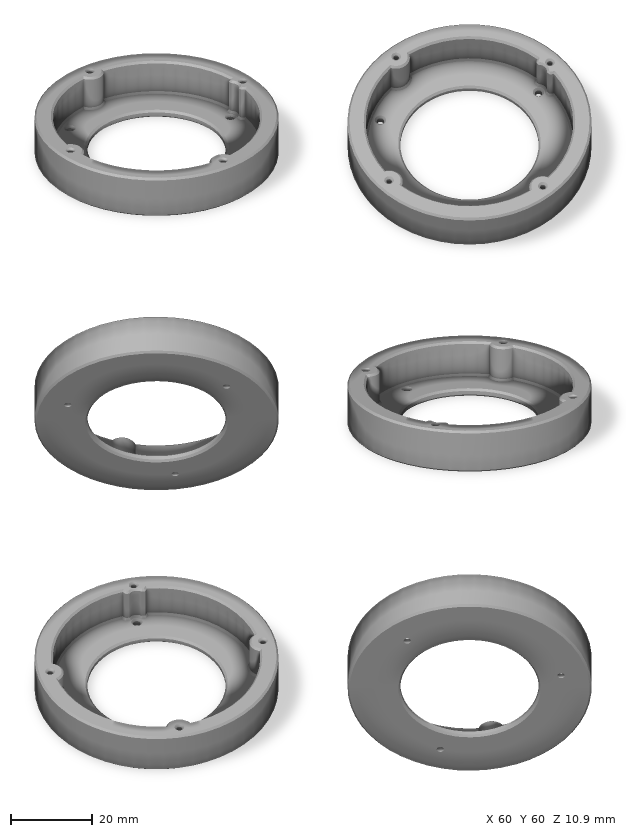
import cadquery as cq
import math

outer_diameter = 60.0
height = 10.9
edge_chamfer = 0.5
outer_radius = outer_diameter / 2

floor_thickness = 2.0
cavity_radius = 25.5
bore_radius = 34.0 / 2

boss_radius = 3.35
boss_circle_radius = 26.75
boss_hole_radius = 1.4 / 2
boss_hole_depth = 6.0
boss_angles = (0, 90, 180, 270)

floor_hole_radius = 1.8 / 2
floor_hole_circle_radius = 23.0
floor_hole_angles = (90, 210, 330)

tip_flat_y = 24.4
relief_radius = 2.1
shared_angle = 90


def polar(radius, angle):
    """Point on a circle about the part axis."""
    return (radius * math.cos(math.radians(angle)), radius * math.sin(math.radians(angle)))


def revolved(profile, center):
    """Turn a (radius, height) profile about a vertical line through the center."""
    turned = cq.Workplane("XZ").polyline(profile).close().revolve(360, (0, 0, 0), (0, 1, 0))
    return turned.translate((*center, 0))


def countersunk_hole(center, radius, bottom, top):
    """Hole cutter with a 45 degree countersink at its upper end."""
    profile = [
        (0, bottom),
        (radius, bottom),
        (radius, top - edge_chamfer),
        (radius + edge_chamfer, top),
        (0, top),
    ]
    return revolved(profile, center)


def wall_profile(distance, chamfer):
    """Cavity wall section, stepping by the chamfer at floor and rim, closed along distance zero."""
    return [
        (0, floor_thickness),
        (distance - chamfer, floor_thickness),
        (distance, floor_thickness + edge_chamfer),
        (distance, height - edge_chamfer),
        (distance + chamfer, height),
        (0, height),
    ]


def boss(angle):
    """Screw boss, wider at the floor and narrower at the rim."""
    return revolved(wall_profile(boss_radius, -edge_chamfer), polar(boss_circle_radius, angle))


def tip_trim():
    """Space on the axis side of the flat across the shared boss, with chamfered edges."""
    section = cq.Workplane("YZ").polyline(wall_profile(tip_flat_y, edge_chamfer)).close()
    return section.extrude(outer_radius, both=True)


def cavity():
    """Round pocket with the bosses left standing and the shared boss trimmed and relieved."""
    pocket = revolved(wall_profile(cavity_radius, edge_chamfer), (0, 0))
    for angle in boss_angles:
        lobe = boss(angle)
        if angle == shared_angle:
            relief_center = polar(floor_hole_circle_radius, angle)
            relief = revolved(wall_profile(relief_radius, edge_chamfer), relief_center)
            lobe = lobe.cut(tip_trim()).cut(relief)
        pocket = pocket.cut(lobe)
    return pocket


def bore():
    """Central opening through the floor, chamfered at both ends."""
    profile = [
        (0, 0),
        (bore_radius + edge_chamfer, 0),
        (bore_radius, edge_chamfer),
        (bore_radius, floor_thickness - edge_chamfer),
        (bore_radius + edge_chamfer, floor_thickness),
        (0, floor_thickness),
    ]
    return revolved(profile, (0, 0))


body = cq.Workplane("XY").circle(outer_radius).extrude(height).edges().chamfer(edge_chamfer)
body = body.cut(cavity())
body = body.cut(bore())

for angle in boss_angles:
    hole_center = polar(boss_circle_radius, angle)
    body = body.cut(countersunk_hole(hole_center, boss_hole_radius, height - boss_hole_depth, height))

for angle in floor_hole_angles:
    hole_center = polar(floor_hole_circle_radius, angle)
    body = body.cut(countersunk_hole(hole_center, floor_hole_radius, 0, floor_thickness))

result = body